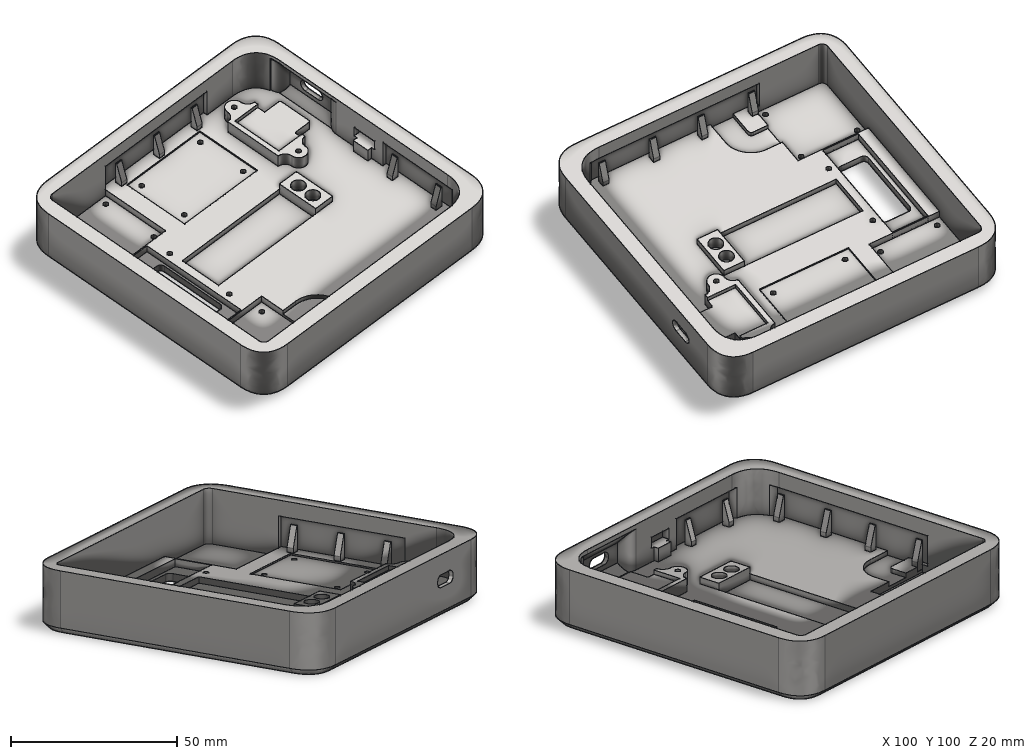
import cadquery as cq
import math

SIDE = 100.0
HEIGHT = 20.0
CORNER_LENGTH = 10.0
CORNER_FULLNESS = 0.64
BASE_CHAMFER = 2.0
WALL = 5.0
FLOOR = 5.0
FRONT_RADIUS = 2.0
INNER = SIDE / 2 - WALL

SCREW_DIAMETER = 1.7
SCREW_DEPTH = 1.8

CHANNEL_DEPTH = 1.5
CHANNEL_TOP = 15.0
CHANNEL_BACK_START = 8.0
CHANNEL_CORNER_X = 35.3
CHANNEL_CORNER_Y = 36.7
CHANNEL_RIGHT_END = -22.0
CHANNEL_LEFT_SPAN = (-20.0, 24.0)
CLIP_WIDTH = 2.2
CLIP_REACH = 2.5
CLIP_TIP = 0.4
CLIP_NOSE = 1.5
CLIP_TOP = 13.1
BACK_CLIPS = (13.3, 31.5)
RIGHT_CLIPS = (34.0, 16.0, -1.1, -19.0)
LEFT_CLIPS = (18.2, 1.9, -14.5)

CORNER_EDGE = 20.0
CORNER_DEPTH = 2.5
LEFT_CORNER_HOLES = ((-42.5, -22.5), (-22.5, -22.5), (-22.5, -42.6))
RIGHT_CORNER_HOLES = ((22.9, -22.9), (43.0, -22.9), (22.9, -42.8))

DISPLAY_HALF_WIDTH = 19.6
DISPLAY_BACK = -28.5
DISPLAY_FRONT = -41.1
DISPLAY_DEPTH = 2.5
WINDOW_WIDTH = 26.4
WINDOW_BACK = -29.3
WINDOW_FRONT = -39.7
WINDOW_RADIUS = 1.6
DISPLAY_HOLE_X = 12.4
DISPLAY_HOLE_Y = -26.1

SENSOR_WIDTH = 15.1
SENSOR_BACK = 23.7
SENSOR_FRONT = -25.7
SENSOR_DEPTH = 2.0
BLOCK_FRONT = 16.4
BLOCK_TOP = 7.2
EYE_DIAMETER = 4.7
EYE_SPACING = 6.0
EYE_Y = 19.9

BOARD_X = -29.9
BOARD_Y = 1.8
BOARD_WIDTH = 24.0
BOARD_LENGTH = 31.6
BOARD_DEPTH = 0.5
BOARD_HOLE_X = 17.8
BOARD_HOLE_Y = 25.5
BOARD_HOLE_CENTRE_Y = 1.9

GROOVE_LEFT = 28.9
GROOVE_BACK = -5.5
GROOVE_WIDTH = 8.1
GROOVE_DEPTH = 1.5
GROOVE_OUTER_RADIUS = 9.0
GROOVE_INNER_RADIUS = 1.2

SOCKET_X = -25.0
HOLDER_TOP = 9.4
HOLDER_FLOOR = 8.0
EAR_X = 13.4
EAR_Y = 28.9
EAR_RADIUS = 2.9
SEAT_HALF_WIDTH = 9.15
SEAT_FRONT = 24.8
TONGUE_HALF_WIDTH = 6.3
TONGUE_BACK = 41.4
TONGUE_RADIUS = 0.6
FLARE_RADIUS = 4.9
PORT_WALL = 1.5
PORT_MOUTH_HALF_WIDTH = 13.6
PORT_Z = 11.3
PORT_HEIGHT = 6.6
PORT_MOUTH_HEIGHT = 14.4
SLOT_LENGTH = 9.2
SLOT_HEIGHT = 4.0
SLOT_Z = 11.6

BUTTON_X = 0.3
BUTTON_WIDTH = 8.4
BUTTON_RECESS = 2.5
BUTTON_TOP = 13.1
LEDGE_WIDTH = 6.1
LEDGE_REACH = 1.6
LEDGE_TOP = 9.5


def box(x_range, y_range, z_range):
    """Axis-aligned box between the given limits."""
    lengths = [high - low for low, high in (x_range, y_range, z_range)]
    corner = (x_range[0], y_range[0], z_range[0])
    return cq.Workplane("XY").box(*lengths, centered=False).translate(corner)


def screw_holes(points, level):
    """Blind screw holes drilled down from a face at the given level."""
    start = cq.Workplane("XY").workplane(offset=level - SCREW_DEPTH)
    return start.pushPoints(points).circle(SCREW_DIAMETER / 2).extrude(SCREW_DEPTH)


def soft_corner(sketch, side, reach):
    """Continue a sketch round a back corner with a full curve; side is 1 for right and -1 for left.

    The right corner runs from the right edge to the back edge, the left one from the back edge
    to the left edge, so that the outline is drawn anticlockwise.
    """
    start = reach - CORNER_LENGTH
    handle = start + CORNER_FULLNESS * CORNER_LENGTH
    points = [(reach, start), (reach, handle), (handle, reach), (start, reach)]
    if side < 0:
        points = [(-x, y) for x, y in reversed(points)]
    return sketch.lineTo(*points[0]).bezier(points[1:], includeCurrent=True)


def make_shell():
    half = SIDE / 2
    quarter = cq.Workplane("XY").moveTo(half, 0)
    quarter = soft_corner(quarter, 1, half)
    back_half = soft_corner(quarter, -1, half).lineTo(-half, 0).close().extrude(HEIGHT)
    shell = back_half.union(back_half.mirror("XZ"))
    shell = shell.faces("<Z").edges().chamfer(BASE_CHAMFER)
    return shell.cut(make_cavity())


def make_cavity():
    outline = cq.Workplane("XY").workplane(offset=FLOOR).moveTo(INNER, -INNER)
    outline = soft_corner(outline, 1, INNER)
    outline = soft_corner(outline, -1, INNER).lineTo(-INNER, -INNER).close()
    cavity = outline.extrude(HEIGHT - FLOOR)
    return cavity.edges("|Z and <Y").fillet(FRONT_RADIUS)


def make_channels():
    """Strip channel along the back and right walls, and one along the left wall."""
    deep = INNER + CHANNEL_DEPTH
    inside = INNER - WALL
    outline = [
        (CHANNEL_BACK_START, inside),
        (CHANNEL_BACK_START, deep),
        (CHANNEL_CORNER_X, deep),
        (deep, CHANNEL_CORNER_Y),
        (deep, CHANNEL_RIGHT_END),
        (inside, CHANNEL_RIGHT_END),
        (inside, CHANNEL_CORNER_Y - WALL),
        (CHANNEL_CORNER_X - WALL, inside),
    ]
    height = CHANNEL_TOP - FLOOR
    channel = cq.Workplane("XY").workplane(offset=FLOOR).polyline(outline).close().extrude(height)
    left = box((-deep, -inside), CHANNEL_LEFT_SPAN, (FLOOR, CHANNEL_TOP))
    return channel.union(left)


def make_clip():
    """Clip at the right wall, centred on Y = 0, with its flat back towards the strip."""
    outline = [
        (INNER, FLOOR - GROOVE_DEPTH),
        (INNER, CLIP_TOP),
        (INNER - CLIP_TIP, CLIP_TOP),
        (INNER - CLIP_REACH, FLOOR + CLIP_NOSE),
        (INNER - CLIP_REACH, FLOOR - GROOVE_DEPTH),
    ]
    return cq.Workplane("XZ").polyline(outline).close().extrude(CLIP_WIDTH / 2, both=True)


def make_clips():
    clip = make_clip()
    left_clip = clip.mirror("YZ")
    back_clip = clip.rotate((0, 0, 0), (0, 0, 1), 90)
    clips = [clip.translate((0, y, 0)) for y in RIGHT_CLIPS]
    clips += [left_clip.translate((0, y, 0)) for y in LEFT_CLIPS]
    clips += [back_clip.translate((x, 0, 0)) for x in BACK_CLIPS]
    return clips


def make_corner_pocket(side):
    """Square pocket in a front corner; side is -1 for left and 1 for right."""
    x_range = sorted((side * CORNER_EDGE, side * INNER))
    pocket = box(x_range, (-INNER, -CORNER_EDGE), (FLOOR - CORNER_DEPTH, FLOOR))
    outer_corner = "|Z and <Y and >X" if side > 0 else "|Z and <Y and <X"
    return pocket.edges(outer_corner).fillet(FRONT_RADIUS)


def make_display_cut():
    display_bottom = FLOOR - DISPLAY_DEPTH
    half = DISPLAY_HALF_WIDTH
    seat = box((-half, half), (DISPLAY_FRONT, DISPLAY_BACK), (display_bottom, FLOOR))
    window = box((-WINDOW_WIDTH / 2, WINDOW_WIDTH / 2), (WINDOW_FRONT, WINDOW_BACK), (0, FLOOR))
    return seat.union(window.edges("|Z").fillet(WINDOW_RADIUS))


def make_sensor_pocket():
    half = SENSOR_WIDTH / 2
    return box((-half, half), (SENSOR_FRONT, BLOCK_FRONT), (FLOOR - SENSOR_DEPTH, FLOOR))


def make_sensor_block():
    half = SENSOR_WIDTH / 2
    bottom = FLOOR - SENSOR_DEPTH
    return box((-half, half), (BLOCK_FRONT, SENSOR_BACK), (bottom, BLOCK_TOP))


def make_sensor_eyes():
    bottom = FLOOR - SENSOR_DEPTH
    eyes = cq.Workplane("XY").workplane(offset=bottom)
    eyes = eyes.pushPoints([(-EYE_SPACING / 2, EYE_Y), (EYE_SPACING / 2, EYE_Y)])
    return eyes.circle(EYE_DIAMETER / 2).extrude(BLOCK_TOP - bottom)


def make_board_pocket():
    pocket = cq.Workplane("XY").box(BOARD_WIDTH, BOARD_LENGTH, BOARD_DEPTH)
    return pocket.translate((BOARD_X, BOARD_Y, FLOOR - BOARD_DEPTH / 2))


def make_groove():
    """Groove that turns from the right wall towards the right corner pocket."""
    deep = INNER + CHANNEL_DEPTH
    z_range = (FLOOR - GROOVE_DEPTH, FLOOR)
    outer = box((GROOVE_LEFT, deep), (-CORNER_EDGE, GROOVE_BACK), z_range)
    outer = outer.edges("|Z and <X and >Y").fillet(GROOVE_OUTER_RADIUS)
    inner_left = GROOVE_LEFT + GROOVE_WIDTH
    inner = box((inner_left, deep), (-CORNER_EDGE, GROOVE_BACK - GROOVE_WIDTH), z_range)
    inner = inner.edges("|Z and <X and >Y").fillet(GROOVE_INNER_RADIUS)
    return outer.cut(inner)


def make_holder_outline():
    """Outline of the holder: a body blended by hollow arcs into an ear on each side."""
    r = EAR_RADIUS
    bend = r * math.sqrt(0.5)
    body = EAR_X - r
    right = SOCKET_X + EAR_X
    left = SOCKET_X - EAR_X
    front = EAR_Y - 2 * r
    back = EAR_Y + 2 * r
    outline = cq.Workplane("XY").workplane(offset=FLOOR).moveTo(SOCKET_X - body, front)
    outline = outline.lineTo(SOCKET_X + body, front)
    outline = outline.threePointArc((right - bend, front + bend), (right, front + r))
    outline = outline.threePointArc((right + r, EAR_Y), (right, back - r))
    outline = outline.threePointArc((right - bend, back - bend), (SOCKET_X + body, back))
    outline = outline.lineTo(SOCKET_X - body, back)
    outline = outline.threePointArc((left + bend, back - bend), (left, back - r))
    outline = outline.threePointArc((left - r, EAR_Y), (left, front + r))
    outline = outline.threePointArc((left + bend, front + bend), (SOCKET_X - body, front))
    return outline.close()


def make_holder():
    """Raised socket holder: a body with two screw ears and a lower seat and tongue."""
    holder = make_holder_outline().extrude(HOLDER_TOP - FLOOR)
    tongue_x = (SOCKET_X - TONGUE_HALF_WIDTH, SOCKET_X + TONGUE_HALF_WIDTH)
    tongue = box(tongue_x, (SEAT_FRONT, TONGUE_BACK), (FLOOR, HOLDER_FLOOR))
    tongue = tongue.edges("|Z and >Y").fillet(TONGUE_RADIUS)
    seat_x = (SOCKET_X - SEAT_HALF_WIDTH, SOCKET_X + SEAT_HALF_WIDTH)
    seat = box(seat_x, (SEAT_FRONT, TONGUE_BACK), (HOLDER_FLOOR, HOLDER_TOP))
    holder = holder.union(tongue).cut(seat)
    joint = (tongue_x[1], EAR_Y + 2 * EAR_RADIUS, (FLOOR + HOLDER_FLOOR) / 2)
    return holder.edges(cq.selectors.NearestToPointSelector(joint)).fillet(TONGUE_RADIUS)


def make_port():
    """Recess in the back wall: sloped above and below, with rounded cheeks at both ends."""
    depth = WALL - PORT_WALL
    back = INNER + depth
    front = INNER - depth
    rise = FLARE_RADIUS - depth
    cheek = math.sqrt(FLARE_RADIUS**2 - rise**2)
    mouth = PORT_MOUTH_HALF_WIDTH
    angle = (math.pi / 2 + math.asin(rise / FLARE_RADIUS)) / 2
    mid_x = mouth - FLARE_RADIUS * math.cos(angle)
    mid_y = INNER + FLARE_RADIUS * (1 - math.sin(angle))
    plan = cq.Workplane("XY").moveTo(-mouth, INNER).lineTo(-mouth, front)
    plan = plan.lineTo(mouth, front).lineTo(mouth, INNER)
    plan = plan.threePointArc((mid_x, mid_y), (mouth - cheek, back))
    plan = plan.lineTo(cheek - mouth, back)
    plan = plan.threePointArc((-mid_x, mid_y), (-mouth, INNER)).close()
    cheeks = plan.extrude(HEIGHT).translate((SOCKET_X, 0, 0))
    profile = [
        (front, PORT_Z - PORT_MOUTH_HEIGHT / 2),
        (INNER, PORT_Z - PORT_MOUTH_HEIGHT / 2),
        (back, PORT_Z - PORT_HEIGHT / 2),
        (back, PORT_Z + PORT_HEIGHT / 2),
        (INNER, PORT_Z + PORT_MOUTH_HEIGHT / 2),
        (front, PORT_Z + PORT_MOUTH_HEIGHT / 2),
    ]
    slopes = cq.Workplane("YZ").workplane(offset=SOCKET_X).polyline(profile).close()
    slopes = slopes.extrude(mouth, both=True)
    above_floor = box((-SIDE / 2, SIDE / 2), (front, SIDE / 2), (FLOOR, HEIGHT))
    return cheeks.intersect(slopes).intersect(above_floor)


def make_slot():
    """Rounded slot through the thin wall behind the port recess."""
    slot = cq.Workplane("XZ").workplane(offset=-SIDE / 2).center(SOCKET_X, SLOT_Z)
    return slot.slot2D(SLOT_LENGTH, SLOT_HEIGHT).extrude(WALL)


def make_button_recess():
    x_range = (BUTTON_X - BUTTON_WIDTH / 2, BUTTON_X + BUTTON_WIDTH / 2)
    return box(x_range, (INNER, INNER + BUTTON_RECESS), (LEDGE_TOP, BUTTON_TOP))


def make_ledge():
    x_range = (BUTTON_X - LEDGE_WIDTH / 2, BUTTON_X + LEDGE_WIDTH / 2)
    return box(x_range, (INNER - LEDGE_REACH, INNER), (FLOOR, LEDGE_TOP))


def make_all_screw_holes():
    board_holes = [
        (BOARD_X + sx * BOARD_HOLE_X / 2, BOARD_HOLE_CENTRE_Y + sy * BOARD_HOLE_Y / 2)
        for sx in (-1, 1)
        for sy in (-1, 1)
    ]
    display_holes = [(sx * DISPLAY_HOLE_X, DISPLAY_HOLE_Y) for sx in (-1, 1)]
    ear_holes = [(SOCKET_X + sx * EAR_X, EAR_Y) for sx in (-1, 1)]
    holes = screw_holes(board_holes, FLOOR - BOARD_DEPTH)
    holes = holes.union(screw_holes(display_holes, FLOOR))
    holes = holes.union(screw_holes(ear_holes, HOLDER_TOP))
    return holes.union(screw_holes(LEFT_CORNER_HOLES + RIGHT_CORNER_HOLES, FLOOR - CORNER_DEPTH))


result = make_shell().cut(make_channels()).cut(make_groove())
for side in (-1, 1):
    result = result.cut(make_corner_pocket(side))
result = result.cut(make_display_cut()).cut(make_board_pocket()).cut(make_sensor_pocket())
result = result.union(make_sensor_block()).cut(make_sensor_eyes())
for clip in make_clips():
    result = result.union(clip)
result = result.union(make_holder()).cut(make_port()).cut(make_slot())
result = result.cut(make_button_recess()).union(make_ledge())
result = result.cut(make_all_screw_holes())